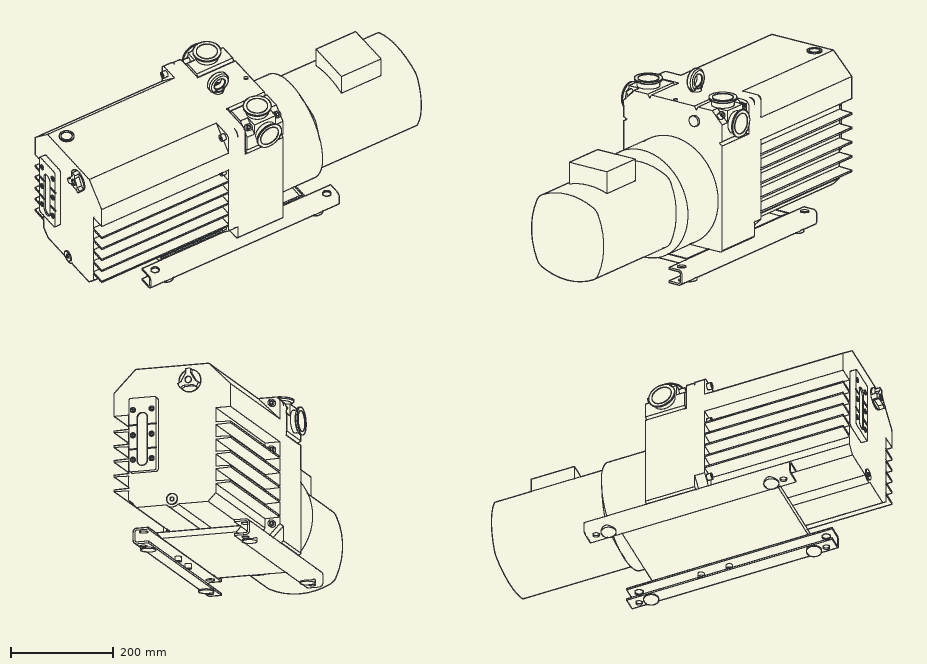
import cadquery as cq
import math


BODY_WIDTH = 241.0
HALF_WIDTH = BODY_WIDTH / 2
BODY_TOP = 323.6
RAIL_TOP = 34.2
AXIS_Z = 138.2

CASE_BACK = 294.7
FLANGE_BACK = 315.7
BLOCK_BACK = 420.8
BELL_BACK = 518.8
NECK_BACK = 527.2
MOTOR_BACK = 762.5
FRONT_REACH = 12.3

CASE_BOTTOM = 45.0
CASE_TOP_CHAMFER = 45.0
SHOULDER_Z = 232.5
CORE_HALF_WIDTH = 90.0
CORE_BOTTOM_CHAMFER = 16.0
FIN_COUNT = 5
FIRST_FIN_Z = 82.5
FIN_PITCH = 29.7
FIN_TIP = 3.5
FIN_ROOT = 5.5
DRAIN_Z = 55.7
DRAIN_BOSS_DIA = 32.0
DRAIN_PLUG_DIA = 22.0
DRAIN_SOCKET_DIA = 8.0
PLUG_HEIGHT = 2.4
FILL_PLUG_DIA = 29.0
FILL_PLUG_BORE = 22.0
FILL_PLUG_BORE_DEPTH = 1.0
FILL_PLUG_X = -50.0
FILL_PLUG_Y = 28.0

FLANGE_BOTTOM = 38.0
FLANGE_CHAMFER = 29.5
FLANGE_ROUND = 9.5
BLOCK_ROUND = 12.5
BLOCK_BOTTOM_CHAMFER = 4.0
REAR_PLUG_X = 54.0
REAR_PLUG_DIA = 22.0
REAR_PLUG_HEIGHT = 4.8
TOP_HOLE_DIA = 8.0
TOP_HOLE_DEPTH = 5.0
TOP_HOLE_Y = 412.0

SCREW_HEAD_DIA = 13.0
SCREW_HEAD_HEIGHT = 9.0
SCREW_SOCKET_DIA = 6.65
SCREW_SOCKET_DEPTH = 4.0
SCREW_X = 105.4
CASE_SCREW_HEIGHTS = (67.7, 217.0, 311.0)

PORT_X = 91.0
PORT_Y = 379.7
PORT_Z = 293.6
PORT_FLANGE_DIA = 55.0
PORT_TUBE_DIA = 45.0
PORT_BORE_DIA = 41.2
PORT_BORE_DEPTH = 1.0
PORT_SPAN = 272.42
PORT_HEIGHT = (PORT_SPAN - BODY_WIDTH) / 2
PORT_RIM = 3.0
PORT_CONE = 3.0
ADAPTER_INNER_X = 61.5
ADAPTER_FRONT_Y = 337.5
ADAPTER_BOTTOM_Z = 264.5
SIDE_GROOVE = 9.0
FRONT_GROOVE = 4.0
GROOVE_DEPTH = 7.0
ADAPTER_CHAMFER = 24.5
ADAPTER_NOTCH = 17.0

EYE_Y = 347.0
EYE_OUTER_DIA = 45.0
EYE_INNER_DIA = 24.0
EYE_WIDTH = 13.0
EYE_OUTER_CHAMFER = 3.0
EYE_INNER_CHAMFER = 1.2
EYE_TOP = 368.2
COLLAR_DIA = 22.0
COLLAR_OVERLAP = 8.0
WASHER_DIA = 26.5
WASHER_THICKNESS = 1.5

MOTOR_HALF_WIDTH = 88.5
MOTOR_HALF_HEIGHT = 89.2
MOTOR_CORNER_REACH = 70.6
MOTOR_CORNER_RADIUS = 27.0
BELL_DIA = 221.5
NECK_DIA = 152.0
TERMINAL_BOX_SIDE = 92.0
TERMINAL_BOX_TOP = 265.0
TERMINAL_BOX_Y = 650.0

RAIL_FRONT = 114.0
RAIL_BACK = 551.5
RAIL_WIDTH = 31.7
RAIL_BOTTOM = 2.4
RAIL_THICKNESS = 4.0
RAIL_ROUND = 8.0
RAIL_HOLE_DIA = 16.66
RAIL_LOWER_HOLE_DIA = 13.0
RAIL_HOLE_INSET = 19.5
FOOT_DIA = 30.0
FOOT_INSET = 45.5
RAIL_BOLT_YS = (340.0, 400.0)
TRAY_FRONT = 160.0
TRAY_BACK = 492.0
TRAY_BOTTOM = 21.7
TRAY_FLOOR_HALF_WIDTH = 77.0
TRAY_THICKNESS = 3.0

GLASS_LEFT, GLASS_RIGHT = -85.5, -28.8
GLASS_LOW, GLASS_HIGH = 114.4, 262.5
GLASS_ROUND = 4.5
WINDOW_X = -58.0
WINDOW_LOW, WINDOW_HIGH = 126.0, 232.5
WINDOW_WIDTH = 21.3
WINDOW_DEPTH = 3.0
MARK_HEIGHTS = (159.0, 207.5)
MARK_SIZE = 1.5
GLASS_SCREW_XS = (-77.4, -38.7)
GLASS_SCREW_HEIGHTS = (138.8, 188.0, 239.0)
GLASS_BORE_DIA = 10.0
GLASS_BORE_DEPTH = 2.0
GLASS_PILOT_DIA = 4.92
GLASS_PILOT_DEPTH = 2.5

CAP_X = 37.0
CAP_Z = 291.0
CAP_DIA = 45.0
CAP_BASE = 2.4
CAP_ARM_WIDTH = 10.0
CAP_SCREW_DIA = 13.0
CAP_SCREW_DEPTH = 2.0


def box(x0, x1, y0, y1, z0, z1):
    return cq.Workplane("XY").box(x1 - x0, y1 - y0, z1 - z0, centered=False).translate((x0, y0, z0))


def cylinder(base, axis, diameter, height):
    return cq.Workplane(cq.Solid.makeCylinder(diameter / 2, height, cq.Vector(*base), cq.Vector(*axis)))


def prism_y(points, front, back):
    """Outline of (x, z) points extruded along Y from front to back."""
    return cq.Workplane("XZ", origin=(0, front, 0)).polyline(points).close().extrude(front - back)


def mirrored(shape):
    """The shape together with its image across the middle plane."""
    return shape.union(shape.mirror("YZ"))


def socket_screw(seat, axis):
    """Socket head standing on the seat point and facing along the axis."""
    direction = cq.Vector(*axis).normalized()
    socket_base = cq.Vector(*seat) + direction * (SCREW_HEAD_HEIGHT - SCREW_SOCKET_DEPTH)
    head = cylinder(seat, axis, SCREW_HEAD_DIA, SCREW_HEAD_HEIGHT)
    return head.cut(cylinder(socket_base.toTuple(), axis, SCREW_SOCKET_DIA, SCREW_SOCKET_DEPTH))


def oil_case():
    top_half = HALF_WIDTH - CASE_TOP_CHAMFER
    bottom_half = CORE_HALF_WIDTH - CORE_BOTTOM_CHAMFER
    right_side = [
        (bottom_half, CASE_BOTTOM),
        (CORE_HALF_WIDTH, CASE_BOTTOM + CORE_BOTTOM_CHAMFER),
        (CORE_HALF_WIDTH, SHOULDER_Z),
        (HALF_WIDTH, SHOULDER_Z),
        (HALF_WIDTH, BODY_TOP - CASE_TOP_CHAMFER),
        (top_half, BODY_TOP),
    ]
    left_side = [(-x, z) for x, z in reversed(right_side)]
    case = prism_y(right_side + left_side, 0, CASE_BACK)
    for index in range(FIN_COUNT):
        case = case.union(fin_pair(FIRST_FIN_Z + index * FIN_PITCH))
    return case.union(cylinder((0, 0, DRAIN_Z), (0, 1, 0), DRAIN_BOSS_DIA, CASE_BACK))


def fin_pair(z):
    outline = [
        (-HALF_WIDTH, z - FIN_TIP / 2),
        (-CORE_HALF_WIDTH, z - FIN_ROOT / 2),
        (CORE_HALF_WIDTH, z - FIN_ROOT / 2),
        (HALF_WIDTH, z - FIN_TIP / 2),
        (HALF_WIDTH, z + FIN_TIP / 2),
        (CORE_HALF_WIDTH, z + FIN_ROOT / 2),
        (-CORE_HALF_WIDTH, z + FIN_ROOT / 2),
        (-HALF_WIDTH, z + FIN_TIP / 2),
    ]
    return prism_y(outline, 0, CASE_BACK)


def case_plugs():
    drain = cylinder((0, 0, DRAIN_Z), (0, -1, 0), DRAIN_PLUG_DIA, PLUG_HEIGHT)
    drain = drain.cut(cylinder((0, 0, DRAIN_Z), (0, -1, 0), DRAIN_SOCKET_DIA, PLUG_HEIGHT))
    fill = cylinder((FILL_PLUG_X, FILL_PLUG_Y, BODY_TOP), (0, 0, 1), FILL_PLUG_DIA, PLUG_HEIGHT)
    bore_z = BODY_TOP + PLUG_HEIGHT - FILL_PLUG_BORE_DEPTH
    bore_base = (FILL_PLUG_X, FILL_PLUG_Y, bore_z)
    fill = fill.cut(cylinder(bore_base, (0, 0, 1), FILL_PLUG_BORE, FILL_PLUG_BORE_DEPTH))
    return drain.union(fill)


def flange():
    plate = box(-HALF_WIDTH, HALF_WIDTH, CASE_BACK, FLANGE_BACK, FLANGE_BOTTOM, BODY_TOP)
    plate = plate.edges("|Y and >Z").fillet(FLANGE_ROUND)
    return plate.edges("|Y and <Z").chamfer(FLANGE_CHAMFER)


def cylinder_block():
    block = box(-HALF_WIDTH, HALF_WIDTH, FLANGE_BACK, BLOCK_BACK, RAIL_TOP, BODY_TOP)
    block = block.edges("|Y and <Z").chamfer(BLOCK_BOTTOM_CHAMFER)
    rounded = block.edges("|Y and >Z").fillet(BLOCK_ROUND)
    adapters = box(-HALF_WIDTH, HALF_WIDTH, ADAPTER_FRONT_Y, BLOCK_BACK, ADAPTER_BOTTOM_Z, BODY_TOP)
    block = rounded.union(adapters)
    block = block.cut(mirrored(adapter_grooves()))
    hole_z = BODY_TOP - TOP_HOLE_DEPTH
    return block.cut(cylinder((0, TOP_HOLE_Y, hole_z), (0, 0, 1), TOP_HOLE_DIA, TOP_HOLE_DEPTH))


def adapter_grooves():
    """Grooves and screw notches around the port adapter on the -X side."""
    groove_x = -ADAPTER_INNER_X + SIDE_GROOVE
    groove_y = ADAPTER_FRONT_Y - FRONT_GROOVE
    groove_z = ADAPTER_BOTTOM_Z - SIDE_GROOVE
    floor_z = BODY_TOP - GROOVE_DEPTH
    floor_x = -HALF_WIDTH + GROOVE_DEPTH
    groove_middle_x = -ADAPTER_INNER_X + SIDE_GROOVE / 2
    groove_middle_z = ADAPTER_BOTTOM_Z - SIDE_GROOVE / 2
    top_vee = [(-ADAPTER_INNER_X, BODY_TOP), (groove_middle_x, floor_z), (groove_x, BODY_TOP)]
    side_vee = [(-HALF_WIDTH, ADAPTER_BOTTOM_Z), (floor_x, groove_middle_z), (-HALF_WIDTH, groove_z)]
    top_inner = prism_y(top_vee, groove_y, BLOCK_BACK)
    side_lower = prism_y(side_vee, groove_y, BLOCK_BACK)
    top_front = box(-HALF_WIDTH, groove_x, groove_y, ADAPTER_FRONT_Y, floor_z, BODY_TOP)
    side_front = box(-HALF_WIDTH, floor_x, groove_y, ADAPTER_FRONT_Y, groove_z, BODY_TOP)
    cuts = top_inner.union(top_front).union(side_front).union(side_lower)
    corner = [
        (-HALF_WIDTH, BODY_TOP),
        (-HALF_WIDTH + ADAPTER_CHAMFER, BODY_TOP),
        (-HALF_WIDTH, BODY_TOP - ADAPTER_CHAMFER),
    ]
    cuts = cuts.union(prism_y(corner, ADAPTER_FRONT_Y, ADAPTER_FRONT_Y + ADAPTER_NOTCH))
    return cuts.union(prism_y(corner, BLOCK_BACK - ADAPTER_NOTCH, BLOCK_BACK))


def adapter_screws():
    x = -HALF_WIDTH + ADAPTER_CHAMFER / 2
    z = BODY_TOP - ADAPTER_CHAMFER / 2
    front = socket_screw((x, ADAPTER_FRONT_Y + ADAPTER_NOTCH / 2, z), (-1, 0, 1))
    back = socket_screw((x, BLOCK_BACK - ADAPTER_NOTCH / 2, z), (-1, 0, 1))
    return front.union(back)


def port():
    """Clamp flange on a short tube, standing on Z = 0."""
    cone_start = PORT_HEIGHT - PORT_RIM - PORT_CONE
    outline = [
        (0, 0),
        (PORT_TUBE_DIA / 2, 0),
        (PORT_TUBE_DIA / 2, cone_start),
        (PORT_FLANGE_DIA / 2, cone_start + PORT_CONE),
        (PORT_FLANGE_DIA / 2, PORT_HEIGHT),
        (PORT_BORE_DIA / 2, PORT_HEIGHT),
        (PORT_BORE_DIA / 2, PORT_HEIGHT - PORT_BORE_DEPTH),
        (0, PORT_HEIGHT - PORT_BORE_DEPTH),
    ]
    return cq.Workplane("XZ").polyline(outline).close().revolve(360, (0, 0, 0), (0, 1, 0))


def ports():
    top = port().translate((-PORT_X, PORT_Y, BODY_TOP))
    side = port().rotate((0, 0, 0), (0, 1, 0), -90).translate((-HALF_WIDTH, PORT_Y, PORT_Z))
    rear_plug = cylinder((-REAR_PLUG_X, BLOCK_BACK, PORT_Z), (0, 1, 0), REAR_PLUG_DIA, REAR_PLUG_HEIGHT)
    return mirrored(top.union(side)).union(rear_plug)


def eye_bolt():
    half_width = EYE_WIDTH / 2
    center_z = EYE_TOP - EYE_OUTER_DIA / 2
    ring = cylinder((-half_width, EYE_Y, center_z), (1, 0, 0), EYE_OUTER_DIA, EYE_WIDTH)
    ring = ring.edges().chamfer(EYE_OUTER_CHAMFER)
    ring = ring.cut(cylinder((-half_width, EYE_Y, center_z), (1, 0, 0), EYE_INNER_DIA, EYE_WIDTH))
    ring = ring.edges(cq.selectors.RadiusNthSelector(0)).chamfer(EYE_INNER_CHAMFER)
    collar_height = EYE_TOP - EYE_OUTER_DIA + COLLAR_OVERLAP - BODY_TOP
    collar = cylinder((0, EYE_Y, BODY_TOP), (0, 0, 1), COLLAR_DIA, collar_height)
    washer_z = BODY_TOP + collar_height
    washer = cylinder((0, EYE_Y, washer_z), (0, 0, 1), WASHER_DIA, WASHER_THICKNESS)
    return ring.union(collar).union(washer)


def motor():
    bell = cylinder((0, BLOCK_BACK, AXIS_Z), (0, 1, 0), BELL_DIA, BELL_BACK - BLOCK_BACK)
    neck = cylinder((0, BELL_BACK, AXIS_Z), (0, 1, 0), NECK_DIA, NECK_BACK - BELL_BACK)
    half_side = TERMINAL_BOX_SIDE / 2
    terminal_box = box(
        -half_side,
        half_side,
        TERMINAL_BOX_Y - half_side,
        TERMINAL_BOX_Y + half_side,
        AXIS_Z,
        TERMINAL_BOX_TOP,
    )
    return bell.union(neck).union(motor_housing()).union(terminal_box)


def motor_housing():
    """Square housing with bowed sides and rounded corners."""
    corner = MOTOR_CORNER_REACH
    outline = (
        cq.Workplane("XZ", origin=(0, NECK_BACK, AXIS_Z))
        .moveTo(-corner, corner)
        .threePointArc((0, MOTOR_HALF_HEIGHT), (corner, corner))
        .threePointArc((MOTOR_HALF_WIDTH, 0), (corner, -corner))
        .threePointArc((0, -MOTOR_HALF_HEIGHT), (-corner, -corner))
        .threePointArc((-MOTOR_HALF_WIDTH, 0), (-corner, corner))
        .close()
    )
    return outline.extrude(NECK_BACK - MOTOR_BACK).edges("|Y").fillet(MOTOR_CORNER_RADIUS)


def rail():
    """C-shaped rail on the -X side, open toward the middle, with its feet."""
    length = RAIL_BACK - RAIL_FRONT
    outer = box(-HALF_WIDTH, -HALF_WIDTH + RAIL_WIDTH, RAIL_FRONT, RAIL_BACK, RAIL_BOTTOM, RAIL_TOP)
    outer = outer.edges("|Y and <X").fillet(RAIL_ROUND)
    cavity = box(
        -HALF_WIDTH + RAIL_THICKNESS,
        -HALF_WIDTH + RAIL_WIDTH,
        RAIL_FRONT,
        RAIL_BACK,
        RAIL_BOTTOM + RAIL_THICKNESS,
        RAIL_TOP - RAIL_THICKNESS,
    )
    channel = outer.cut(cavity.edges("|Y and <X").fillet(RAIL_ROUND - RAIL_THICKNESS))
    upper_z = RAIL_TOP - RAIL_THICKNESS
    foot_x = -HALF_WIDTH + RAIL_WIDTH / 2
    for offset in (RAIL_HOLE_INSET, length - RAIL_HOLE_INSET):
        y = RAIL_FRONT + offset
        upper_hole = cylinder((-SCREW_X, y, upper_z), (0, 0, 1), RAIL_HOLE_DIA, RAIL_THICKNESS)
        lower_hole = cylinder((-SCREW_X, y, RAIL_BOTTOM), (0, 0, 1), RAIL_LOWER_HOLE_DIA, RAIL_THICKNESS)
        channel = channel.cut(upper_hole).cut(lower_hole)
    for offset in (FOOT_INSET, length - FOOT_INSET):
        y = RAIL_FRONT + offset
        channel = channel.union(cylinder((foot_x, y, 0), (0, 0, 1), FOOT_DIA, RAIL_BOTTOM + RAIL_THICKNESS))
    for y in RAIL_BOLT_YS:
        channel = channel.union(socket_screw((-SCREW_X, y, upper_z), (0, 0, -1)))
    return channel


def tray_section(inset):
    """Trapezoid between the rails, with its sides and floor moved inward by the inset."""
    rim = HALF_WIDTH - RAIL_WIDTH - inset
    floor = TRAY_FLOOR_HALF_WIDTH - inset
    bottom = TRAY_BOTTOM + inset
    return [(-floor, bottom), (floor, bottom), (rim, RAIL_TOP), (-rim, RAIL_TOP)]


def drip_tray():
    outer = prism_y(tray_section(0), TRAY_FRONT, TRAY_BACK)
    hollow = prism_y(tray_section(TRAY_THICKNESS), TRAY_FRONT + TRAY_THICKNESS, TRAY_BACK - TRAY_THICKNESS)
    return outer.cut(hollow)


def oil_window():
    plate = box(GLASS_LEFT, GLASS_RIGHT, -FRONT_REACH, 0, GLASS_LOW, GLASS_HIGH)
    plate = plate.edges("|Y").fillet(GLASS_ROUND)
    for z in MARK_HEIGHTS:
        mark = box(GLASS_LEFT, GLASS_RIGHT, -FRONT_REACH, -FRONT_REACH + MARK_SIZE, z, z + MARK_SIZE)
        plate = plate.cut(mark)
    window = (
        cq.Workplane("XZ", origin=(WINDOW_X, -FRONT_REACH, (WINDOW_LOW + WINDOW_HIGH) / 2))
        .slot2D(WINDOW_HIGH - WINDOW_LOW, WINDOW_WIDTH, 90)
        .extrude(-WINDOW_DEPTH)
    )
    for x in GLASS_SCREW_XS:
        for z in GLASS_SCREW_HEIGHTS:
            plate = plate.cut(glass_screw_hole(x, z))
    return plate.cut(window)


def glass_screw_hole(x, z):
    """Counterbore and pilot hole for one window plate screw."""
    face = (x, -FRONT_REACH, z)
    recess = cylinder(face, (0, 1, 0), GLASS_BORE_DIA, GLASS_BORE_DEPTH)
    return recess.union(cylinder(face, (0, 1, 0), GLASS_PILOT_DIA, GLASS_BORE_DEPTH + GLASS_PILOT_DEPTH))


def filler_cap():
    center = (CAP_X, 0, CAP_Z)
    axis_end = (CAP_X, 1, CAP_Z)
    arm_count = 3
    arm_step = 360 / arm_count
    base = cylinder(center, (0, -1, 0), CAP_DIA, CAP_BASE)
    radius = CAP_DIA / 2
    corners = []
    for index in range(arm_count):
        angle = math.radians(90 + arm_step * index)
        corners.append((CAP_X + radius * math.cos(angle), CAP_Z + radius * math.sin(angle)))
    grip = prism_y(corners, -FRONT_REACH, 0)
    arm = box(CAP_X - CAP_ARM_WIDTH / 2, CAP_X + CAP_ARM_WIDTH / 2, -FRONT_REACH, 0, CAP_Z, CAP_Z + radius)
    for index in range(arm_count):
        grip = grip.union(arm.rotate(center, axis_end, arm_step * index))
    grip = grip.intersect(cylinder(center, (0, -1, 0), CAP_DIA, FRONT_REACH))
    screw_face = (CAP_X, -FRONT_REACH, CAP_Z)
    grip = grip.cut(cylinder(screw_face, (0, 1, 0), CAP_SCREW_DIA, CAP_SCREW_DEPTH))
    return base.union(grip)


def case_screws(side_x):
    """Column of screws holding the oil case flange on one side."""
    return [socket_screw((side_x, CASE_BACK, z), (0, -1, 0)) for z in CASE_SCREW_HEIGHTS]


body = oil_case().union(flange()).union(cylinder_block()).union(motor())
body = body.union(mirrored(rail())).union(drip_tray())
for screw in case_screws(-SCREW_X) + case_screws(SCREW_X):
    body = body.union(screw)
body = body.union(mirrored(adapter_screws())).union(ports()).union(eye_bolt())
result = body.union(case_plugs()).union(oil_window()).union(filler_cap())